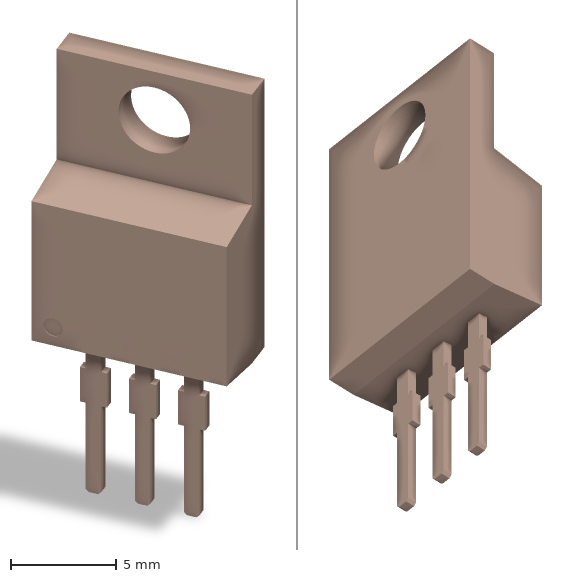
import cadquery as cq
import math

width = 10.1

tab_height = 6.3
tab_thickness = 1.52
hole_diameter = 3.7
hole_below_top = 2.75

body_height = 9.0
body_depth = 4.57
straight_depth = 1.56
draft_angle = 10.0

mark_diameter = 1.0
mark_recess = 0.05
mark_x = -3.93
mark_z = 1.57

lead_count = 3
lead_pitch = 2.54
lead_width = 0.8
lead_thickness = 0.5
lead_back_y = -2.45
lead_length = 8.5
lead_embed = 1.0
tip_chamfer = 0.15
shoulder_width = 1.4
shoulder_height = 1.95
shoulder_below_body = 1.5


def make_body():
    """Body with its upper and lower faces drafted towards the front."""
    draft_drop = (body_depth - straight_depth) * math.tan(math.radians(draft_angle))
    side_profile = [
        (0, 0),
        (-straight_depth, 0),
        (-body_depth, draft_drop),
        (-body_depth, body_height - draft_drop),
        (-straight_depth, body_height),
        (0, body_height),
    ]
    return cq.Workplane("YZ").polyline(side_profile).close().extrude(width / 2, both=True)


def make_tab():
    """Flat tab above the body with its screw hole."""
    tab = (
        cq.Workplane("XY")
        .box(width, tab_thickness, tab_height, centered=(True, False, False))
        .translate((0, -tab_thickness, body_height))
    )
    hole_z = body_height + tab_height - hole_below_top
    hole = (
        cq.Workplane("XZ")
        .center(0, hole_z)
        .circle(hole_diameter / 2)
        .extrude(tab_thickness)
    )
    return tab.cut(hole)


def make_mark():
    """Disc that sinks the pin-one mark into the front face."""
    return (
        cq.Workplane("XZ", origin=(0, -body_depth, 0))
        .center(mark_x, mark_z)
        .circle(mark_diameter / 2)
        .extrude(-mark_recess)
    )


def make_lead(x):
    """Flat lead with a wider shoulder and a chamfered tip, rooted inside the body."""
    centre_y = lead_back_y - lead_thickness / 2
    blade_length = lead_length + lead_embed
    blade = (
        cq.Workplane("XY")
        .box(lead_width, lead_thickness, blade_length, centered=(True, True, False))
        .faces("<Z")
        .edges("|Y")
        .chamfer(tip_chamfer)
        .translate((x, centre_y, -lead_length))
    )
    shoulder_bottom = -shoulder_below_body - shoulder_height
    shoulder = (
        cq.Workplane("XY")
        .box(shoulder_width, lead_thickness, shoulder_height, centered=(True, True, False))
        .translate((x, centre_y, shoulder_bottom))
    )
    return blade.union(shoulder)


result = make_body().union(make_tab()).cut(make_mark())
for index in range(lead_count):
    lead_x = (index - (lead_count - 1) / 2) * lead_pitch
    result = result.union(make_lead(lead_x))